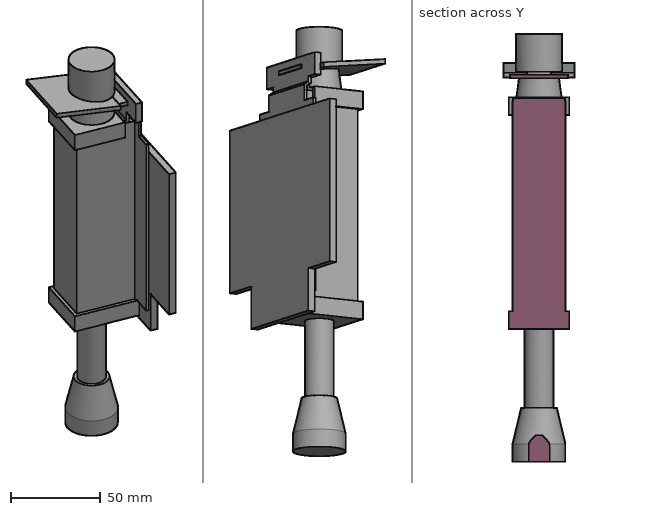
import cadquery as cq
import math

total_height = 240.0
plunger_y = 0.2

foot_radius = 15.0
foot_cone_top_radius = 10.0
foot_rim_height = 10.0
foot_height = 30.2
rod_radius = 8.2
knob_radius = 13.0
neck_bottom_radius = 12.7
neck_top_radius = 10.8
knob_bottom = 219.0

body_width = 29.8
body_front = -16.0
block_width = 34.0
block_front = -18.2
block_height = 10.0
bottom_block_bottom = 74.5
bottom_block_top = bottom_block_bottom + block_height
top_block_top = 204.5
top_block_bottom = top_block_top - block_height
top_block_back = 13.0
body_top = 202.3

plate_width = 112.0
plate_back = 26.0
plate_front = 21.5
plate_top = 189.8
plate_shoulder = 97.0
plate_bottom = 72.7
plate_tab_width = 64.0

sheet_thickness = 1.7
sheet_front = plate_front - sheet_thickness
flange_width = 60.0
flange_bottom = 85.2
flange_top = 195.0

bar_width = 54.0
bar_front = 15.0
bar_back = 18.7
bar_bottom = 209.3
bar_top = 221.8
strip_width = 39.8
strip_step = plate_front - bar_back
jog_bottom = 204.2
jog_top = 206.5
front_strip_width = 29.3

lever_width = 39.8
lever_front = -31.0
lever_back = 9.0
lever_thickness = 2.6
lever_front_top = 223.7
lever_angle = 8.0
tongue_width = 32.6
tongue_end_width = 24.5
tongue_bottom = 215.0
tongue_thickness = 2.2
tongue_back = bar_back + 0.7


def box(width, front, back, bottom, top):
    """Block centred on X between the given Y and Z limits."""
    block = cq.Workplane("XY").box(width, back - front, top - bottom, centered=(True, False, False))
    return block.translate((0, front, bottom))


def side_profile(points, width):
    """Extrude a (Y, Z) outline symmetrically along X."""
    return cq.Workplane("YZ").polyline(points).close().extrude(width / 2, both=True)


def turned_parts():
    """Foot, rod, neck and knob; the rod runs on inside the body."""
    outline = [
        (0, 0),
        (foot_radius, 0),
        (foot_radius, foot_rim_height),
        (foot_cone_top_radius, foot_height),
        (rod_radius, foot_height),
        (rod_radius, top_block_top),
        (neck_bottom_radius, top_block_top),
        (neck_top_radius, knob_bottom),
        (knob_radius, knob_bottom),
        (knob_radius, total_height),
        (0, total_height),
    ]
    plunger = cq.Workplane("XZ").polyline(outline).close().revolve(360, (0, 0), (0, 1))
    return plunger.translate((0, plunger_y, 0))


def body():
    column = box(body_width, body_front, sheet_front, bottom_block_bottom, body_top)
    bottom_block = box(block_width, block_front, sheet_front, bottom_block_bottom, bottom_block_top)
    top_block = box(block_width, block_front, top_block_back, top_block_bottom, top_block_top)
    return column.union(bottom_block).union(top_block)


def mounting_plate():
    wide_part = box(plate_width, plate_front, plate_back, plate_shoulder, plate_top)
    tab = box(plate_tab_width, plate_front, plate_back, plate_bottom, plate_top)
    flange = box(flange_width, sheet_front, plate_front, flange_bottom, flange_top)
    flange_tail = box(block_width, sheet_front, plate_front, bottom_block_bottom, flange_bottom)
    return wide_part.union(tab).union(flange).union(flange_tail)


def crossbar():
    bar = box(bar_width, bar_front, bar_back, bar_bottom, bar_top)
    jog_angle = math.atan2(strip_step, jog_top - jog_bottom)
    jog_shift = sheet_thickness * math.tan(jog_angle / 2)
    rear_strip = side_profile(
        [
            (plate_front, flange_bottom),
            (plate_front, jog_bottom),
            (bar_back, jog_top),
            (bar_back, bar_bottom),
            (bar_back - sheet_thickness, bar_bottom),
            (bar_back - sheet_thickness, jog_top - jog_shift),
            (sheet_front, jog_bottom - jog_shift),
            (sheet_front, flange_bottom),
        ],
        strip_width,
    )
    front_strip = box(front_strip_width, bar_front, bar_front + sheet_thickness, body_top, bar_bottom)
    strip_foot = box(front_strip_width, top_block_back, bar_front, body_top, body_top + sheet_thickness)
    return bar.union(rear_strip).union(front_strip).union(strip_foot)


def lever():
    drop = (lever_back - lever_front) * math.tan(math.radians(lever_angle))
    lever_back_top = lever_front_top - drop
    slope = side_profile(
        [
            (lever_front, lever_front_top),
            (lever_back, lever_back_top),
            (lever_back, lever_back_top - lever_thickness),
            (lever_front, lever_front_top - lever_thickness),
        ],
        lever_width,
    )
    tongue_top = tongue_bottom + tongue_thickness
    tongue = box(tongue_width, lever_back, bar_front, tongue_bottom, tongue_top)
    tongue_end = box(tongue_end_width, bar_front, tongue_back, tongue_bottom, tongue_top)
    return slope.union(tongue).union(tongue_end)


result = body().union(mounting_plate()).union(crossbar()).union(turned_parts()).union(lever())